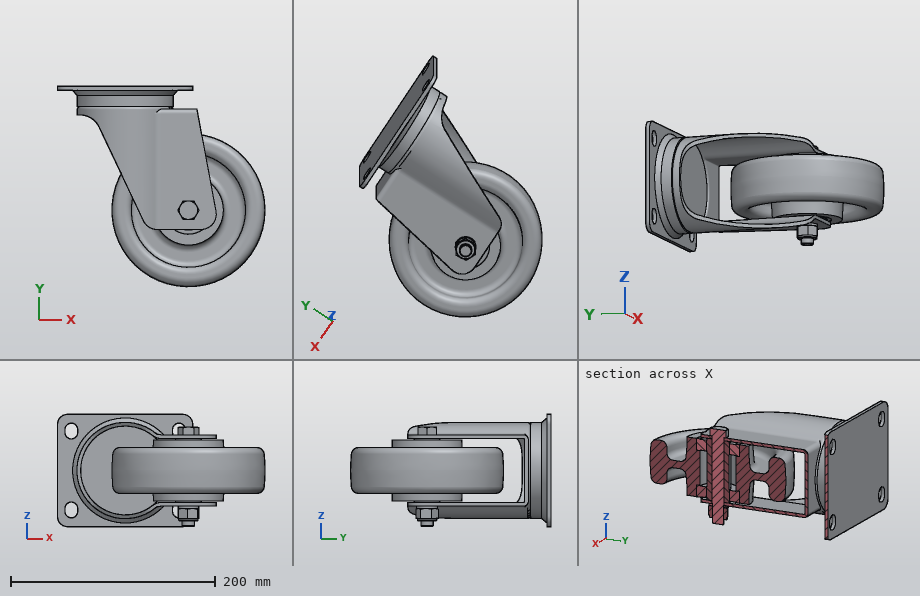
import cadquery as cq
import math


PLATE_LENGTH = 132.3
PLATE_WIDTH = 110.0
PLATE_THICKNESS = 4.0
PLATE_CORNER_RADIUS = 10.0
SLOT_WIDTH = 12.2
SLOT_LENGTH = 15.2
SLOT_SPACING_X = 105.1
SLOT_SPACING_Z = 77.1
NECK_FLARE_RADIUS = 51.3
NECK_FLARE_Y = -9.1
NECK_END_Y = -19.9

SHEET = 3.7
CUP_RADIUS = 47.0
CUP_EDGE_RADIUS = 3.0
ARM_HALF_WIDTH = 35.0
ARM_BLEND_RADIUS = 10.0
FLANGE_Y = -22.1
FLANGE_BEND_RADIUS = 5.0
CUP_STEP_RADIUS = 2.0
STEP_START_X = 34.5
FORK_REACH = 101.5
LIP_Y = -28.2
ARM_END_Y = -140.0
FRONT_EDGE_TOP_X = 70.2
FRONT_EDGE_END_X = 92.1
BACK_EDGE_TOP_X = -31.0
BACK_EDGE_END_X = 22.0
LIP_RADIUS = 20.0
ARM_END_RADIUS = 15.0

WHEEL_RADIUS = 74.9
AXLE_X = 61.9
AXLE_Y = -121.1
TREAD_HALF_WIDTH = 22.5
SHOULDER_RADIUS = 74.0
SHOULDER_Z = 16.2
SIDE_FACE_OUTER_RADIUS = 66.8
RIM_WALL_RADIUS = 55.8
RIM_LIP_FILLET = 7.1
WEB_FILLET = 6.0
WEB_HALF_THICKNESS = 4.0
HUB_END_RADIUS = 34.0
HUB_BASE_RADIUS = 35.3
HUB_HALF_LENGTH = 30.0

BEARING_RADIUS = 23.5
BEARING_WIDTH = 12.0
BEARING_EDGE_RADIUS = 1.0
BEARING_SHIELD_RADIUS = 19.5
BEARING_SHIELD_DEPTH = 0.5
SLEEVE_RADIUS = 12.5
BOLT_RADIUS = 6.0
BOLT_END_Z = -54.8
BOLT_END_CHAMFER = 0.8
HEAD_ACROSS_FLATS = 18.0
HEX_CHAMFER_ANGLE = 30.0
HEAD_HEIGHT = 7.5
WASHER_RADIUS = 10.1
WASHER_THICKNESS = 2.2
NUT_ACROSS_FLATS = 19.0
NUT_HEX_HEIGHT = 9.7
NUT_COLLAR_RADIUS = 9.5
NUT_COLLAR_HEIGHT = 2.2
NUT_COLLAR_CHAMFER = 0.6
NUT_TURN = 24.0

CUP_INNER_RADIUS = CUP_RADIUS - SHEET
CUP_FLOOR_Y = NECK_END_Y - SHEET
FLANGE_FLOOR_Y = FLANGE_Y - SHEET
ARM_INNER_HALF_WIDTH = ARM_HALF_WIDTH - SHEET
WASHER_TOP_Z = -ARM_HALF_WIDTH
NUT_TOP_Z = WASHER_TOP_Z - WASHER_THICKNESS


def plan_at(y):
    """Workplane across the swivel axis, with local x along X, local y along Z, extruding to -Y."""
    return cq.Workplane("XZ", origin=(0, y, 0))


def across_axle(z):
    """Workplane across the axle, centred on it."""
    return cq.Workplane("XY", origin=(AXLE_X, AXLE_Y, z))


def make_plate():
    plate = plan_at(0).rect(PLATE_LENGTH, PLATE_WIDTH).extrude(PLATE_THICKNESS)
    plate = plate.edges("|Y").fillet(PLATE_CORNER_RADIUS)
    slots = (
        plan_at(0)
        .rect(SLOT_SPACING_X, SLOT_SPACING_Z, forConstruction=True)
        .vertices()
        .slot2D(SLOT_LENGTH, SLOT_WIDTH, 90)
        .extrude(PLATE_THICKNESS)
    )
    neck = (
        cq.Workplane("XY")
        .moveTo(0, -PLATE_THICKNESS)
        .lineTo(NECK_FLARE_RADIUS, -PLATE_THICKNESS)
        .lineTo(CUP_RADIUS, NECK_FLARE_Y)
        .lineTo(CUP_RADIUS, NECK_END_Y)
        .lineTo(0, NECK_END_Y)
        .close()
        .revolve(360, (0, 0, 0), (0, 1, 0))
    )
    return plate.cut(slots).union(neck)


def arm_block(cup_radius, half_width, blend_radius, top_y, bend_radius):
    """Block that leaves a round cup through two hollow blends and runs on to +X between flat
    sides, with its long top edges rounded."""
    centre_z = half_width + blend_radius
    centre_x = math.sqrt((cup_radius + blend_radius) ** 2 - centre_z**2)
    cup_share = cup_radius / (cup_radius + blend_radius)
    cup_x = centre_x * cup_share
    cup_z = centre_z * cup_share
    middle_angle = (math.atan2(cup_z - centre_z, cup_x - centre_x) - math.pi / 2) / 2
    middle_x = centre_x + blend_radius * math.cos(middle_angle)
    middle_z = centre_z + blend_radius * math.sin(middle_angle)
    block = (
        plan_at(top_y)
        .moveTo(cup_x, -cup_z)
        .threePointArc((middle_x, -middle_z), (centre_x, -half_width))
        .lineTo(FORK_REACH, -half_width)
        .lineTo(FORK_REACH, half_width)
        .lineTo(centre_x, half_width)
        .threePointArc((middle_x, middle_z), (cup_x, cup_z))
        .close()
        .extrude(top_y - ARM_END_Y)
    )
    return block.faces(">Y").edges("not |Z").fillet(bend_radius)


def fork_side_profile():
    """Solid with the fork's outline as seen along the axle."""
    depth = 2 * CUP_RADIUS
    outline = (
        cq.Workplane("XY", origin=(0, 0, -depth / 2))
        .moveTo(-CUP_RADIUS, NECK_END_Y)
        .lineTo(CUP_RADIUS, NECK_END_Y)
        .lineTo(FRONT_EDGE_TOP_X, FLANGE_Y)
        .lineTo(FRONT_EDGE_END_X, ARM_END_Y)
        .lineTo(BACK_EDGE_END_X, ARM_END_Y)
        .lineTo(BACK_EDGE_TOP_X, LIP_Y)
        .lineTo(-CUP_RADIUS, LIP_Y)
        .close()
        .extrude(depth)
    )
    outline = outline.edges("|Z and <Y").fillet(ARM_END_RADIUS)
    return outline.edges(cq.NearestToPointSelector((BACK_EDGE_TOP_X, LIP_Y, 0))).fillet(LIP_RADIUS)


def make_fork():
    cup = plan_at(NECK_END_Y).circle(CUP_RADIUS).extrude(NECK_END_Y - ARM_END_Y)
    cup = cup.faces(">Y").edges().fillet(CUP_EDGE_RADIUS)
    outside = cup.union(
        arm_block(CUP_RADIUS, ARM_HALF_WIDTH, ARM_BLEND_RADIUS, FLANGE_Y, FLANGE_BEND_RADIUS)
    )
    cup_space = plan_at(CUP_FLOOR_Y).circle(CUP_INNER_RADIUS).extrude(CUP_FLOOR_Y - ARM_END_Y)
    arm_space = arm_block(
        CUP_INNER_RADIUS,
        ARM_INNER_HALF_WIDTH,
        ARM_BLEND_RADIUS + SHEET,
        FLANGE_FLOOR_Y,
        FLANGE_BEND_RADIUS - SHEET,
    )
    fork = outside.cut(cup_space).cut(arm_space)
    step_height = CUP_FLOOR_Y - FLANGE_FLOOR_Y
    step_edges = cq.selectors.BoxSelector(
        (STEP_START_X, FLANGE_FLOOR_Y - step_height / 2, -ARM_HALF_WIDTH),
        (CUP_RADIUS, FLANGE_FLOOR_Y + step_height / 2, ARM_HALF_WIDTH),
    )
    fork = fork.edges(step_edges).edges("%CIRCLE").fillet(CUP_STEP_RADIUS)
    bolt_hole = across_axle(-ARM_HALF_WIDTH).circle(BOLT_RADIUS).extrude(2 * ARM_HALF_WIDTH)
    return fork.intersect(fork_side_profile()).cut(bolt_hole)


def make_wheel_half():
    """Upper half of the wheel: crowned tread, dished side with a web, tapered hub."""
    lip_inner_radius = RIM_WALL_RADIUS + RIM_LIP_FILLET
    lip_corner = RIM_LIP_FILLET * (1 - math.sqrt(0.5))
    web_corner = WEB_FILLET * (1 - math.sqrt(0.5))
    crown_z = SHOULDER_Z / 2
    crown_radius = WHEEL_RADIUS - (WHEEL_RADIUS - SHOULDER_RADIUS) / 4
    web_top = WEB_HALF_THICKNESS + WEB_FILLET
    half = (
        cq.Workplane("XZ")
        .moveTo(lip_inner_radius, TREAD_HALF_WIDTH)
        .lineTo(SIDE_FACE_OUTER_RADIUS, TREAD_HALF_WIDTH)
        .tangentArcPoint((SHOULDER_RADIUS, SHOULDER_Z), relative=False)
        .threePointArc((crown_radius, crown_z), (WHEEL_RADIUS, 0))
        .lineTo(BEARING_SHIELD_RADIUS, 0)
        .lineTo(BEARING_SHIELD_RADIUS, HUB_HALF_LENGTH - BEARING_WIDTH)
        .lineTo(BEARING_RADIUS, HUB_HALF_LENGTH - BEARING_WIDTH)
        .lineTo(BEARING_RADIUS, HUB_HALF_LENGTH)
        .lineTo(HUB_END_RADIUS, HUB_HALF_LENGTH)
        .lineTo(HUB_BASE_RADIUS, web_top)
        .threePointArc(
            (HUB_BASE_RADIUS + web_corner, WEB_HALF_THICKNESS + web_corner),
            (HUB_BASE_RADIUS + WEB_FILLET, WEB_HALF_THICKNESS),
        )
        .lineTo(RIM_WALL_RADIUS - WEB_FILLET, WEB_HALF_THICKNESS)
        .threePointArc(
            (RIM_WALL_RADIUS - web_corner, WEB_HALF_THICKNESS + web_corner),
            (RIM_WALL_RADIUS, web_top),
        )
        .lineTo(RIM_WALL_RADIUS, TREAD_HALF_WIDTH - RIM_LIP_FILLET)
        .threePointArc(
            (RIM_WALL_RADIUS + lip_corner, TREAD_HALF_WIDTH - lip_corner),
            (lip_inner_radius, TREAD_HALF_WIDTH),
        )
        .close()
    )
    return half.revolve(360, (0, 0, 0), (0, 1, 0))


def make_wheel():
    half = make_wheel_half()
    wheel = half.union(half.mirror("XY"))
    return wheel.translate((AXLE_X, AXLE_Y, 0))


def make_bearing(side):
    """Bearing flush with one hub end; side is +1 for the +Z end and -1 for the -Z end."""
    inner_z = HUB_HALF_LENGTH - BEARING_WIDTH
    bearing = across_axle(inner_z).circle(BEARING_RADIUS).extrude(BEARING_WIDTH)
    bearing = bearing.faces(">Z").edges().fillet(BEARING_EDGE_RADIUS)
    shield = (
        across_axle(HUB_HALF_LENGTH - BEARING_SHIELD_DEPTH)
        .circle(BEARING_SHIELD_RADIUS)
        .extrude(BEARING_SHIELD_DEPTH)
    )
    bore = across_axle(inner_z).circle(SLEEVE_RADIUS).extrude(BEARING_WIDTH)
    bearing = bearing.cut(shield).cut(bore)
    return bearing if side > 0 else bearing.mirror("XY")


def make_sleeve():
    """Tube through both bearings that fills the space between the fork arms."""
    return (
        across_axle(-ARM_INNER_HALF_WIDTH)
        .circle(SLEEVE_RADIUS)
        .circle(BOLT_RADIUS)
        .extrude(2 * ARM_INNER_HALF_WIDTH)
    )


def hexagon(across_flats, bottom_z, height, turn):
    """Hexagonal prism, turned by an angle in degrees, with its upper corners cut by a cone."""
    corner_radius = across_flats / math.sqrt(3)
    prism = across_axle(bottom_z).polygon(6, 2 * corner_radius).extrude(height)
    prism = prism.rotate((AXLE_X, AXLE_Y, 0), (AXLE_X, AXLE_Y, 1), turn)
    inset = corner_radius - across_flats / 2
    drop = inset * math.tan(math.radians(HEX_CHAMFER_ANGLE))
    envelope = across_axle(bottom_z).circle(corner_radius).extrude(height)
    envelope = envelope.faces(">Z").chamfer(drop, inset)
    return prism.intersect(envelope)


def make_bolt():
    shank = across_axle(BOLT_END_Z).circle(BOLT_RADIUS).extrude(ARM_HALF_WIDTH - BOLT_END_Z)
    shank = shank.faces("<Z").chamfer(BOLT_END_CHAMFER)
    return shank.union(hexagon(HEAD_ACROSS_FLATS, ARM_HALF_WIDTH, HEAD_HEIGHT, 0))


def make_washer():
    return across_axle(NUT_TOP_Z).circle(WASHER_RADIUS).circle(BOLT_RADIUS).extrude(WASHER_THICKNESS)


def make_nut():
    collar_top_z = NUT_TOP_Z - NUT_HEX_HEIGHT
    collar_end_z = collar_top_z - NUT_COLLAR_HEIGHT
    collar = across_axle(collar_end_z).circle(NUT_COLLAR_RADIUS).extrude(NUT_COLLAR_HEIGHT)
    collar = collar.faces("<Z").chamfer(NUT_COLLAR_CHAMFER)
    nut = hexagon(NUT_ACROSS_FLATS, collar_top_z, NUT_HEX_HEIGHT, NUT_TURN).union(collar)
    bore = across_axle(collar_end_z).circle(BOLT_RADIUS).extrude(NUT_TOP_Z - collar_end_z)
    return nut.cut(bore)


plate = make_plate()
fork = make_fork()
wheel = make_wheel()
bearings = [make_bearing(side) for side in (1, -1)]
sleeve = make_sleeve()
bolt = make_bolt()
washer = make_washer()
nut = make_nut()

result = cq.Compound.makeCompound(
    [
        plate.val(),
        fork.val(),
        wheel.val(),
        *[bearing.val() for bearing in bearings],
        sleeve.val(),
        bolt.val(),
        washer.val(),
        nut.val(),
    ]
)